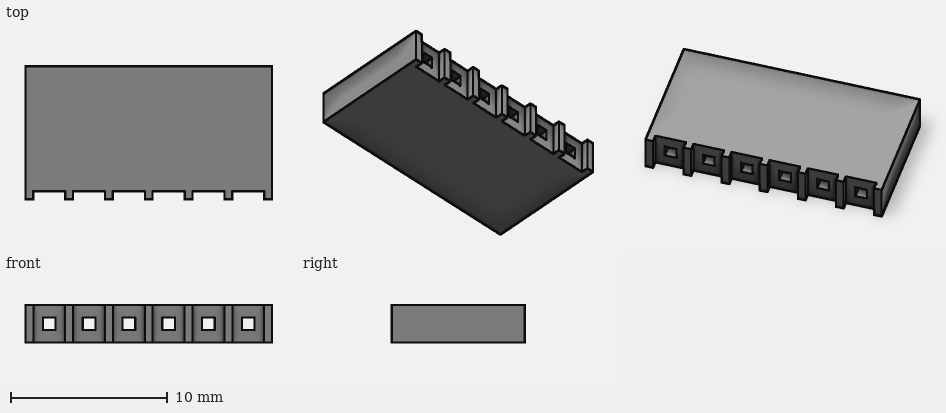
import cadquery as cq

PITCH = 2.54
POSITIONS = 6
RIB_WIDTH = 0.51
RIB_DEPTH = 0.51
BODY_DEPTH = 8.0
HEIGHT = 2.41
HOLE_SIDE = 0.79

LENGTH = POSITIONS * PITCH + RIB_WIDTH
TOTAL_DEPTH = BODY_DEPTH + RIB_DEPTH
FRONT_Y = -TOTAL_DEPTH / 2
BODY_FRONT_Y = FRONT_Y + RIB_DEPTH


def centred_row(count):
    """X positions of evenly pitched items, symmetric about X = 0."""
    return [(i - (count - 1) / 2) * PITCH for i in range(count)]


def box_from_front(x_center, front_y, width, depth, height):
    """Box centred on x_center and Z = 0, extending toward +Y from front_y."""
    return cq.Workplane("XY").box(width, depth, height).translate((x_center, front_y + depth / 2, 0))


def make_body():
    return box_from_front(0, BODY_FRONT_Y, LENGTH, BODY_DEPTH, HEIGHT)


def add_ribs(part):
    for x in centred_row(POSITIONS + 1):
        part = part.union(box_from_front(x, FRONT_Y, RIB_WIDTH, TOTAL_DEPTH, HEIGHT))
    return part.clean()


def cut_pin_holes(part):
    for x in centred_row(POSITIONS):
        part = part.cut(box_from_front(x, FRONT_Y, HOLE_SIDE, TOTAL_DEPTH, HOLE_SIDE))
    return part


result = cut_pin_holes(add_ribs(make_body()))